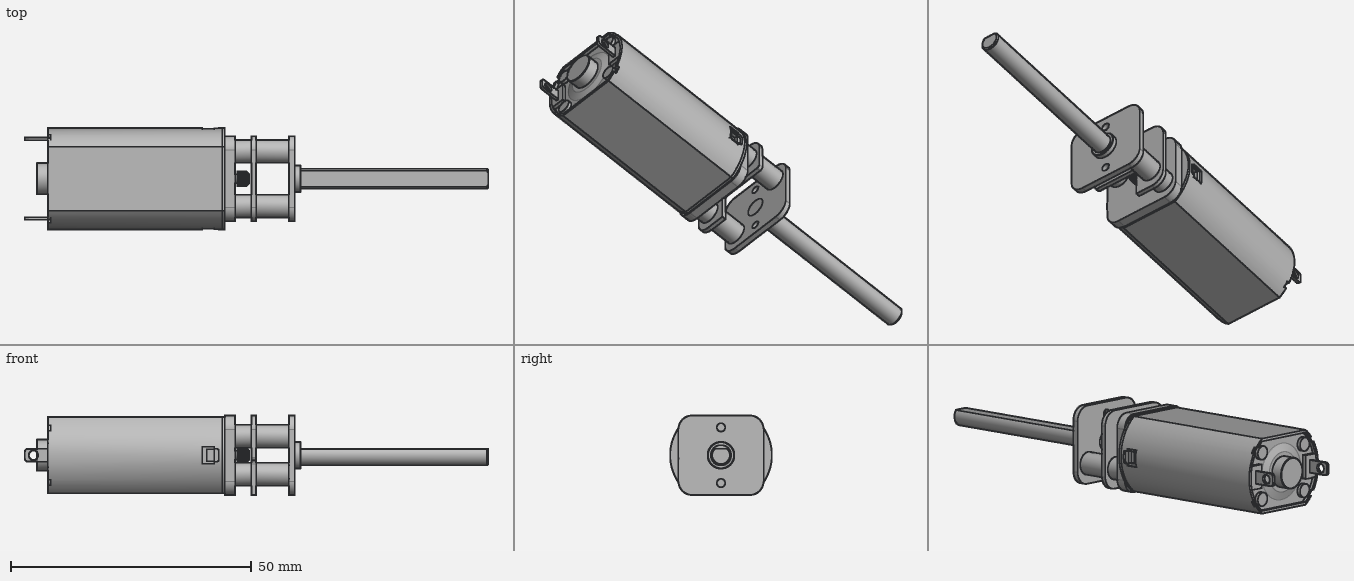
import cadquery as cq


total_length = 96.4
terminal_reach = 4.8

can_length = 36.3
can_width = 21.2
can_height = 15.9
can_flat_width = 13.3
can_wall = 0.6
cap_recess = 0.8
cap_thickness = 1.9

notch_height = 1.2
notch_depth = 0.6
notch_z = 5.7

window_x = 33.4
window_width = 2.5
window_height = 3.6
window_depth = 0.6
window_nose_length = 1.0
window_nose_height = 2.7
pocket_length = 1.5
pocket_height = 2.5
pocket_depth = 1.35

boss_radius = 3.3
boss_reach = 2.3
boss_chamfer = 0.1
cone_base_radius = 6.0
cone_top_radius = 4.2
cone_height = 0.5
stud_radius = 1.4
stud_y = 6.5
stud_z = 4.9
pad_inner_y = 6.75
pad_height = 5.0

terminal_y = 8.3
terminal_thickness = 0.6
terminal_height = 2.7
terminal_corner = 0.7
terminal_hole = 1.9
terminal_hole_inset = 1.8

flange_thickness = 0.6
plate_width = 17.7
plate_height = 16.6
plate_corner = 2.9
base_thickness = 2.1
middle_start = 42.3
middle_thickness = 1.0
end_start = 50.15
end_thickness = 1.3
post_radius = 2.4
post_y = 5.7
post_z = 4.0
middle_notch_top = -1.1
middle_notch_side = 1.9
middle_notch_corner = 0.7
mount_hole = 1.7
mount_hole_z = 5.8
bushing_radius = 2.8
bushing_length = 1.2
bushing_chamfer = 0.1

motor_shaft_radius = 1.0
pinion_start = 39.3
pinion_length = 2.5
pinion_radius = 1.5
pinion_chamfer = 0.6
pinion_teeth = 16
tooth_gap_width = 0.3
tooth_gap_depth = 0.4

shaft_radius = 2.1
shaft_flat_z = 1.35
shaft_chamfer = 0.3

base_start = can_length + flange_thickness
base_end = base_start + base_thickness
end_face = end_start + end_thickness
bushing_end = end_face + bushing_length
shaft_end = total_length - terminal_reach


def section_at(x):
    """YZ work plane at the given x; its local axes are Y and Z and it extrudes toward +X."""
    return cq.Workplane("YZ", origin=(x, 0, 0))


def cylinder(x, length, radius, y=0, z=0):
    return section_at(x).center(y, z).circle(radius).extrude(length)


def can_prism(x, length, inset=0.0):
    """Can section, flat above and below with arched sides, drawn in by `inset`."""
    half_flat = can_flat_width / 2
    half_height = can_height / 2 - inset
    half_width = can_width / 2 - inset
    return (
        section_at(x)
        .moveTo(-half_flat, half_height)
        .lineTo(half_flat, half_height)
        .threePointArc((half_width, 0), (half_flat, -half_height))
        .lineTo(-half_flat, -half_height)
        .threePointArc((-half_width, 0), (-half_flat, half_height))
        .close()
        .extrude(length)
    )


def make_can():
    can = can_prism(0, can_length)
    can = can.cut(can_prism(0, cap_recess + cap_thickness, can_wall))

    for z in (-notch_z, notch_z):
        can = can.cut(cq.Workplane().box(2 * notch_depth, can_width, notch_height).translate((0, 0, z)))

    slot = cq.Workplane().box(window_width, 2 * window_depth, window_height)
    nose = (
        cq.Workplane()
        .box(2 * window_nose_length, 2 * window_depth, window_nose_height)
        .edges("|Y and >X")
        .fillet(window_nose_length / 2)
        .translate((window_width / 2, 0, 0))
    )
    pocket = (
        cq.Workplane()
        .box(pocket_length, 2 * pocket_depth, pocket_height)
        .translate(((window_width - pocket_length) / 2, 0, 0))
    )
    window = slot.union(nose).union(pocket)
    for y in (-can_width / 2, can_width / 2):
        can = can.cut(window.translate((window_x, y, 0)))
    return can


def make_terminal(y):
    length = terminal_reach + cap_recess
    return (
        cq.Workplane()
        .box(length, terminal_thickness, terminal_height)
        .edges("|Y and <X")
        .fillet(terminal_corner)
        .faces("<Y")
        .workplane(origin=(terminal_hole_inset - length / 2, 0, 0))
        .hole(terminal_hole)
        .translate((length / 2 - terminal_reach, y, 0))
    )


def make_rear_cap():
    cap = can_prism(cap_recess, cap_thickness, can_wall)

    cone_top = cap_recess - cone_height
    cone = (
        cq.Workplane("XY")
        .moveTo(cap_recess, 0)
        .lineTo(cap_recess, cone_base_radius)
        .lineTo(cone_top, cone_top_radius)
        .lineTo(cone_top, 0)
        .close()
        .revolve(360, (0, 0, 0), (1, 0, 0))
    )
    boss = cylinder(-boss_reach, boss_reach + cap_recess, boss_radius).faces("<X").chamfer(boss_chamfer)
    cap = cap.union(cone).union(boss)

    inside_rim = can_prism(0, cap_recess, can_wall)
    pad_width = can_width / 2 - pad_inner_y
    for side in (-1, 1):
        pad = (
            section_at(0)
            .center(side * (pad_inner_y + pad_width / 2), 0)
            .rect(pad_width, pad_height)
            .extrude(cap_recess)
        )
        cap = cap.union(pad.intersect(inside_rim))
        for z in (-stud_z, stud_z):
            stud = cylinder(0, cap_recess, stud_radius, side * stud_y, z)
            cap = cap.union(stud.intersect(inside_rim))
        cap = cap.union(make_terminal(side * terminal_y))
    return cap


def make_plate(x, thickness):
    plate = section_at(x).rect(plate_width, plate_height).extrude(thickness)
    return plate.edges("|X").fillet(plate_corner)


def make_middle_plate():
    """Plate with its lower -Y side cut away."""
    corner_cut = (
        section_at(middle_start)
        .moveTo(middle_notch_side, middle_notch_top)
        .lineTo(-plate_width / 2, middle_notch_top)
        .lineTo(-plate_width / 2, -plate_height / 2)
        .lineTo(middle_notch_side, -plate_height / 2)
        .close()
        .extrude(middle_thickness)
    )
    plate = make_plate(middle_start, middle_thickness).cut(corner_cut)

    for y in (-plate_width / 2, middle_notch_side):
        corner = (middle_start + middle_thickness / 2, y, middle_notch_top)
        plate = plate.edges(cq.selectors.NearestToPointSelector(corner)).fillet(middle_notch_corner)
    return plate


def make_frame():
    frame = can_prism(can_length, flange_thickness)
    frame = frame.union(make_plate(base_start, base_thickness))
    frame = frame.union(make_plate(end_start, end_thickness))

    for side in (-1, 1):
        post = cylinder(base_end, end_start - base_end, post_radius, side * post_y, -side * post_z)
        frame = frame.union(post)
    frame = frame.union(make_middle_plate())

    bushing = cylinder(end_face, bushing_length, bushing_radius).faces(">X").chamfer(bushing_chamfer)
    frame = frame.union(bushing)

    frame = frame.cut(cylinder(can_length, base_end - can_length, motor_shaft_radius))
    frame = frame.cut(cylinder(end_start, bushing_end - end_start, shaft_radius))

    for side in (-1, 1):
        frame = frame.cut(cylinder(end_start, end_thickness, mount_hole / 2, 0, side * mount_hole_z))
    return frame


def make_pinion():
    """Motor shaft end with its toothed pinion."""
    pinion = cylinder(pinion_start, pinion_length, pinion_radius).faces(">X").chamfer(pinion_chamfer)
    gaps = (
        section_at(pinion_start)
        .polarArray(pinion_radius, 0, 360, pinion_teeth)
        .rect(2 * tooth_gap_depth, tooth_gap_width)
        .extrude(pinion_length)
    )
    shaft = cylinder(can_length, pinion_start - can_length, motor_shaft_radius)
    return pinion.cut(gaps).union(shaft)


def make_output_shaft():
    """Round inside the bushing, flat on top beyond it."""
    shaft = cylinder(end_start, shaft_end - end_start, shaft_radius).faces(">X").chamfer(shaft_chamfer)
    flat_depth = shaft_radius - shaft_flat_z
    flat = (
        section_at(bushing_end)
        .center(0, shaft_flat_z + flat_depth / 2)
        .rect(2 * shaft_radius, flat_depth)
        .extrude(shaft_end - bushing_end)
    )
    return shaft.cut(flat)


can = make_can()
rear_cap = make_rear_cap()
frame = make_frame()
pinion = make_pinion()
output_shaft = make_output_shaft()

bodies = [can, rear_cap, frame, pinion, output_shaft]
result = cq.Compound.makeCompound([body.solids().val() for body in bodies])